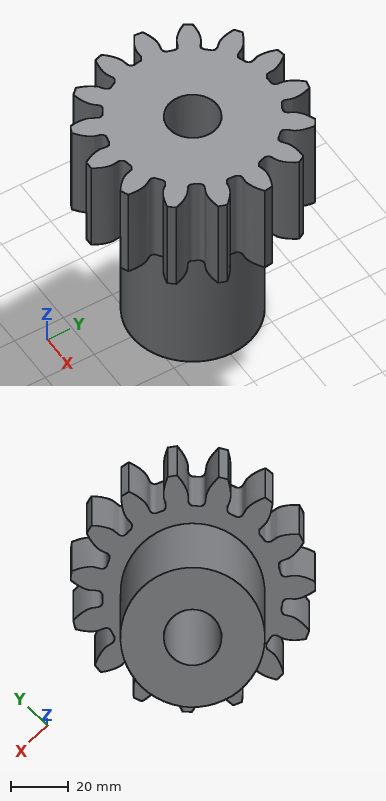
import math

import cadquery as cq

MODULE = 5.0
TOOTH_COUNT = 15
PRESSURE_ANGLE = math.radians(20)
GEAR_WIDTH = 40.0
FIRST_TOOTH_ANGLE = math.radians(-90)
FLANK_SEGMENTS = 8

HUB_DIAMETER = 50.0
HUB_LENGTH = 60.0
BORE_DIAMETER = 20.0
TOTAL_LENGTH = HUB_LENGTH + GEAR_WIDTH

CLEARANCE = 0.25 * MODULE
ROOT_FILLET_RADIUS = 1.5 * CLEARANCE
PITCH_RADIUS = MODULE * TOOTH_COUNT / 2
TIP_RADIUS = PITCH_RADIUS + MODULE
ROOT_RADIUS = PITCH_RADIUS - MODULE - CLEARANCE
BASE_RADIUS = PITCH_RADIUS * math.cos(PRESSURE_ANGLE)
TOOTH_PITCH = 2 * math.pi / TOOTH_COUNT

FILLET_CENTRE_RADIUS = ROOT_RADIUS + ROOT_FILLET_RADIUS
FILLET_ANGLE = math.asin(ROOT_FILLET_RADIUS / FILLET_CENTRE_RADIUS)
FILLET_TOP_RADIUS = FILLET_CENTRE_RADIUS * math.cos(FILLET_ANGLE)


def involute(angle):
    """Involute function of a pressure angle in radians."""
    return math.tan(angle) - angle


def half_tooth_angle(radius):
    """Angle from the tooth centreline to its involute flank at a radius."""
    local_pressure_angle = math.acos(BASE_RADIUS / radius)
    return TOOTH_PITCH / 4 + involute(PRESSURE_ANGLE) - involute(local_pressure_angle)


def flank_radii():
    """Radii from base to tip circle, spaced evenly in the involute roll angle."""
    tip_roll = math.sqrt((TIP_RADIUS / BASE_RADIUS) ** 2 - 1)
    rolls = [tip_roll * i / FLANK_SEGMENTS for i in range(FLANK_SEGMENTS + 1)]
    return [BASE_RADIUS * math.hypot(1, roll) for roll in rolls]


def polar(radius, angle):
    return (radius * math.cos(angle), radius * math.sin(angle))


def fillet_midpoint(centre_angle, side):
    """Middle of a root fillet arc; side is +1 when its tooth lies at a larger angle."""
    centre_x, centre_y = polar(FILLET_CENTRE_RADIUS, centre_angle)
    root_direction = centre_angle + math.pi
    side_direction = centre_angle + side * (math.pi / 2 + FILLET_ANGLE)
    if side < 0:
        side_direction += 2 * math.pi
    offset_x, offset_y = polar(ROOT_FILLET_RADIUS, (root_direction + side_direction) / 2)
    return (centre_x + offset_x, centre_y + offset_y)


def add_tooth(outline, tooth_angle):
    """Continue the outline counter-clockwise over one tooth and the root after it."""
    radii = flank_radii()
    base_half_angle = half_tooth_angle(BASE_RADIUS)
    start_side = tooth_angle - base_half_angle
    end_side = tooth_angle + base_half_angle
    rising_flank = [polar(r, tooth_angle - half_tooth_angle(r)) for r in radii]
    falling_flank = [polar(r, tooth_angle + half_tooth_angle(r)) for r in reversed(radii)]
    outward = polar(1, start_side)
    inward = polar(1, end_side + math.pi)
    free_tangents = [None] * FLANK_SEGMENTS
    start_fillet = start_side - FILLET_ANGLE
    end_fillet = end_side + FILLET_ANGLE
    valley_angle = tooth_angle + TOOTH_PITCH / 2
    next_fillet = start_fillet + TOOTH_PITCH

    return (
        outline.threePointArc(fillet_midpoint(start_fillet, 1), polar(FILLET_TOP_RADIUS, start_side))
        .lineTo(*rising_flank[0])
        .spline(rising_flank[1:], tangents=[outward] + free_tangents, includeCurrent=True)
        .threePointArc(polar(TIP_RADIUS, tooth_angle), falling_flank[0])
        .spline(falling_flank[1:], tangents=free_tangents + [inward], includeCurrent=True)
        .lineTo(*polar(FILLET_TOP_RADIUS, end_side))
        .threePointArc(fillet_midpoint(end_fillet, -1), polar(ROOT_RADIUS, end_fillet))
        .threePointArc(polar(ROOT_RADIUS, valley_angle), polar(ROOT_RADIUS, next_fillet))
    )


def make_gear():
    first_fillet = FIRST_TOOTH_ANGLE - half_tooth_angle(BASE_RADIUS) - FILLET_ANGLE
    outline = cq.Workplane("XY", origin=(0, 0, HUB_LENGTH)).moveTo(*polar(ROOT_RADIUS, first_fillet))
    for i in range(TOOTH_COUNT):
        outline = add_tooth(outline, FIRST_TOOTH_ANGLE + i * TOOTH_PITCH)
    return outline.close().extrude(GEAR_WIDTH)


def make_hub():
    return cq.Workplane("XY").circle(HUB_DIAMETER / 2).extrude(HUB_LENGTH)


def make_bore():
    return cq.Workplane("XY").circle(BORE_DIAMETER / 2).extrude(TOTAL_LENGTH)


result = make_gear().union(make_hub()).cut(make_bore())